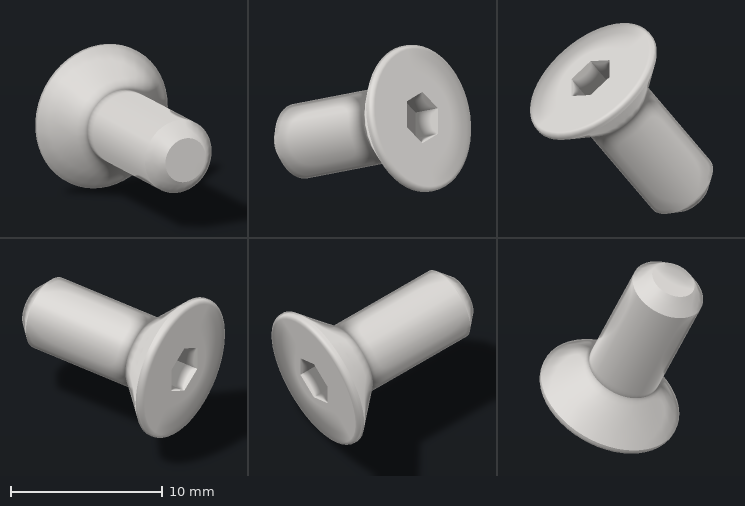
import cadquery as cq
import math

length = 12.0
head_diameter = 9.8
shank_diameter = 5.0

rim_width = 0.5
rim_fillet = 0.3
head_height = 3.0

tip_chamfer = 1.0

socket_across_flats = 3.0
socket_depth = 2.0

head_radius = head_diameter / 2
shank_radius = shank_diameter / 2


def screw_body():
    """Revolve the half profile of head, shank and tip about the X axis."""
    face_radius = head_radius - rim_fillet
    arc_offset = rim_fillet * math.sqrt(0.5)
    arc_middle = (rim_fillet - arc_offset, face_radius + arc_offset)
    profile = (
        cq.Workplane("XY")
        .lineTo(0, face_radius)
        .threePointArc(arc_middle, (rim_fillet, head_radius))
        .lineTo(rim_width, head_radius)
        .lineTo(head_height, shank_radius)
        .lineTo(length - tip_chamfer, shank_radius)
        .lineTo(length, shank_radius - tip_chamfer)
        .lineTo(length, 0)
        .close()
    )
    return profile.revolve(360, (0, 0, 0), (1, 0, 0))


def hex_socket():
    """Hexagonal prism with two corners on the Z direction and flats facing Y."""
    across_corners = socket_across_flats / math.cos(math.pi / 6)
    return (
        cq.Workplane("YZ")
        .transformed(rotate=(0, 0, 90))
        .polygon(6, across_corners)
        .extrude(socket_depth)
    )


result = screw_body().cut(hex_socket())